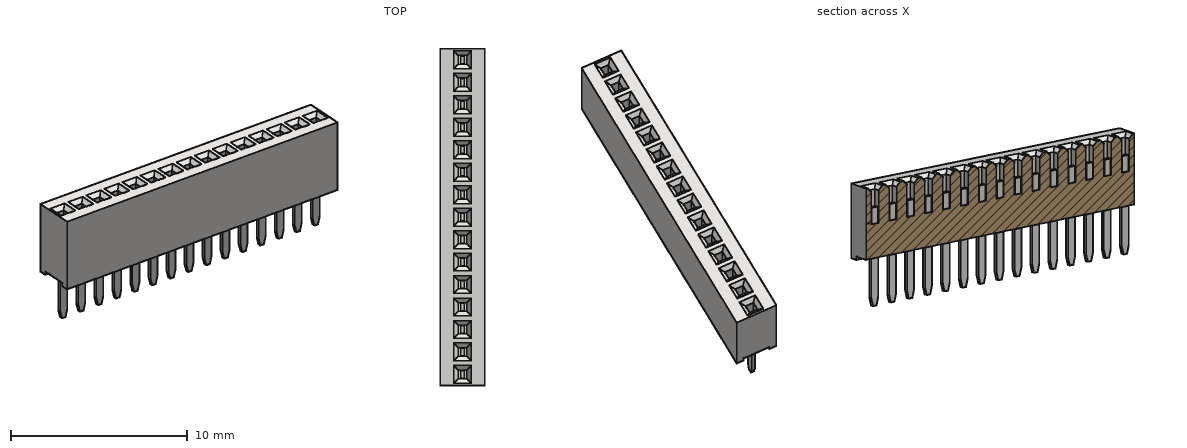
import cadquery as cq

contact_count = 15
body_length = 19.05
body_width = 2.53
total_height = 7.0
pitch = body_length / contact_count

body_height = 4.4
foot_height = 0.21
foot_width = 0.45
channel_width = body_width - 2 * foot_width

mouth_size = 1.01
shaft_size = 0.5
mouth_depth = 0.25
shaft_depth = 1.9

pin_thickness = 0.21
pin_width = 0.5
tip_width = 0.25
tip_length = 0.5

blade_width = 0.42
blade_height = 0.95

body_bottom = total_height - body_height
channel_top = body_bottom + foot_height
shaft_top = total_height - mouth_depth
shaft_floor = shaft_top - shaft_depth


def box_from(size_x, size_y, bottom, top):
    """Box centred on the Z axis between two heights."""
    return cq.Workplane("XY").workplane(offset=bottom).rect(size_x, size_y).extrude(top - bottom)


def make_housing():
    block = box_from(body_width, body_length, body_bottom, total_height)
    channel = box_from(channel_width, body_length, body_bottom, channel_top)
    return block.cut(channel)


def make_socket():
    mouth = (
        cq.Workplane("XY")
        .workplane(offset=shaft_top)
        .rect(shaft_size, shaft_size)
        .workplane(offset=mouth_depth)
        .rect(mouth_size, mouth_size)
        .loft(ruled=True)
    )
    shaft = box_from(shaft_size, shaft_size, shaft_floor, shaft_top)
    return mouth.union(shaft)


def make_contact():
    """Flat pin with its end tapered in Y, plus the blade inside the shaft."""
    outline = [
        (-tip_width / 2, 0),
        (tip_width / 2, 0),
        (pin_width / 2, tip_length),
        (pin_width / 2, shaft_floor),
        (-pin_width / 2, shaft_floor),
        (-pin_width / 2, tip_length),
    ]
    pin = cq.Workplane("YZ").polyline(outline).close().extrude(pin_thickness / 2, both=True)
    blade = box_from(pin_thickness, blade_width, shaft_floor, shaft_floor + blade_height)
    return pin.union(blade)


row = [(0, (index - (contact_count - 1) / 2) * pitch) for index in range(contact_count)]


def repeat_along_row(shape):
    solid = shape.val()
    return cq.Workplane("XY").pushPoints(row).eachpoint(lambda place: solid.moved(place))


housing = make_housing().cut(repeat_along_row(make_socket()))
result = housing.union(repeat_along_row(make_contact()))